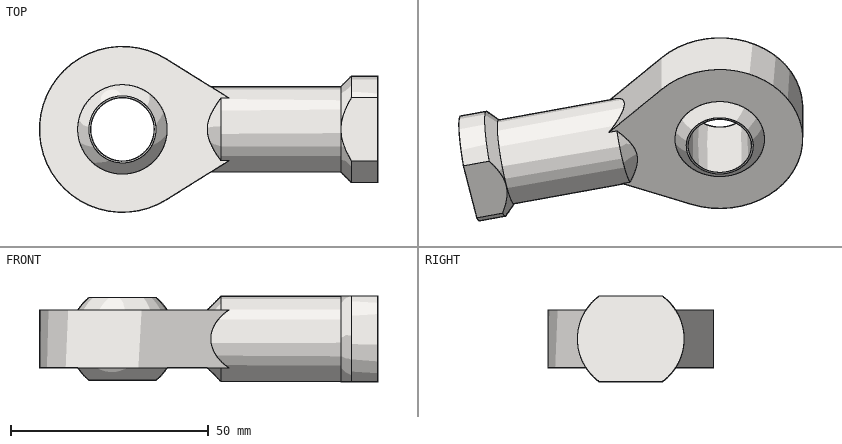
import cadquery as cq
import math

eye_radius = 21.0
eye_thickness = 14.7
side_angle = 32.0

ball_radius = 13.5
ball_width = 21.0
bore_diameter = 16.0

shank_radius = 10.8
shank_start = 24.9

part_length = 85.62
collar_radius = 13.5
collar_length = 9.4
flat_spacing = 21.7

collar_end = part_length - eye_radius
collar_start = collar_end - collar_length
collar_chamfer = collar_radius - shank_radius
cone_tip = shank_start - shank_radius


def make_eye():
    """Round eye whose tangent flanks converge on the X axis."""
    angle = math.radians(side_angle)
    tangent_x = eye_radius * math.sin(angle)
    tangent_y = eye_radius * math.cos(angle)
    apex_x = eye_radius / math.sin(angle)
    return (
        cq.Workplane("XY")
        .moveTo(tangent_x, tangent_y)
        .threePointArc((-eye_radius, 0), (tangent_x, -tangent_y))
        .lineTo(apex_x, 0)
        .close()
        .extrude(eye_thickness / 2, both=True)
    )


def make_shank():
    """Conical end, cylinder and chamfered collar, revolved about X."""
    return (
        cq.Workplane("XY")
        .moveTo(cone_tip, 0)
        .lineTo(shank_start, shank_radius)
        .lineTo(collar_start, shank_radius)
        .lineTo(collar_start + collar_chamfer, collar_radius)
        .lineTo(collar_end, collar_radius)
        .lineTo(collar_end, 0)
        .close()
        .revolve(360, (0, 0, 0), (1, 0, 0))
    )


def make_shank_root():
    """Full-width shank cylinder kept within the eye thickness, filling the flanks."""
    cylinder = cq.Workplane("YZ").workplane(offset=cone_tip).circle(shank_radius)
    slab = cq.Workplane("XY").box(2 * part_length, 2 * eye_radius, eye_thickness)
    return cylinder.extrude(collar_start - cone_tip).intersect(slab)


def make_ball():
    """Sphere truncated to the insert width."""
    slab = cq.Workplane("XY").box(2 * ball_radius, 2 * ball_radius, ball_width)
    return cq.Workplane("XY").sphere(ball_radius).intersect(slab)


def cut_wrench_flats(body):
    """Trim the collar to two flats facing +Z and -Z."""
    slab = cq.Workplane("XY").box(2 * part_length, 2 * eye_radius, flat_spacing)
    return body.intersect(slab)


def cut_bore(body):
    """Through bore of the ball."""
    bore = cq.Workplane("XY").circle(bore_diameter / 2).extrude(ball_width, both=True)
    return body.cut(bore)


body = make_eye().union(make_shank()).union(make_shank_root()).union(make_ball())
result = cut_bore(cut_wrench_flats(body))